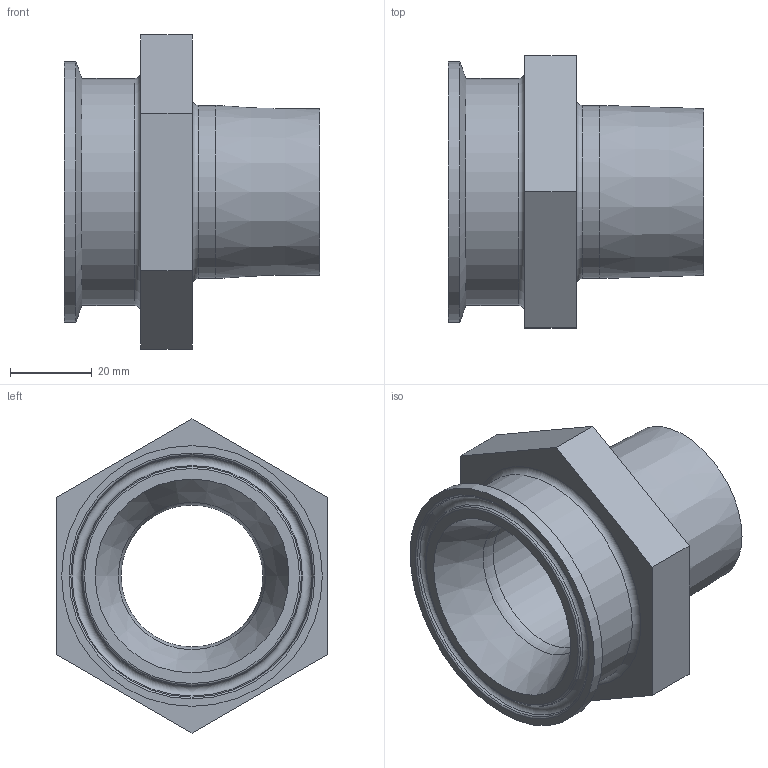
import cadquery as cq
import math


total_length = 62.71
rim_thickness = 2.85
hex_start = 18.75
hex_thickness = 12.7
pipe_straight_end = 37.2

rim_radius = 63.91 / 2
clamp_angle = math.radians(20)
neck_radius = 55.68 / 2

hex_sides = 6
hex_across_flats = 66.67

pipe_radius = 42.45 / 2
pipe_taper = 1 / 16

root_fillet = 1.5

bore_radius = 34.8 / 2
mouth_radius = 47.5 / 2
cone_depth = 12.8
bore_blend_radius = 6.35

groove_center_radius = 28.25
groove_depth = 1.6
groove_bottom_radius = 1.3
groove_lip_radius = 0.5
groove_wall_angle = math.radians(25)

hex_end = hex_start + hex_thickness
hex_across_corners = hex_across_flats / math.cos(math.pi / hex_sides)
clamp_end = rim_thickness + (rim_radius - neck_radius) * math.tan(clamp_angle)
pipe_end_radius = pipe_radius - (total_length - pipe_straight_end) * pipe_taper / 2


def revolve_about_axis(profile):
    return profile.revolve(360, (0, 0, 0), (1, 0, 0))


def root_arc_middle(face_x, body_radius, direction):
    """Middle of the fillet arc beside a hexagon face, on the side given by direction."""
    offset = root_fillet * (1 - math.cos(math.radians(45)))
    return (face_x + direction * offset, body_radius + offset)


def make_turned_body():
    profile = (
        cq.Workplane("XY")
        .lineTo(0, rim_radius)
        .lineTo(rim_thickness, rim_radius)
        .lineTo(clamp_end, neck_radius)
        .lineTo(hex_start - root_fillet, neck_radius)
        .threePointArc(
            root_arc_middle(hex_start, neck_radius, -1),
            (hex_start, neck_radius + root_fillet),
        )
        .lineTo(hex_end, neck_radius + root_fillet)
        .lineTo(hex_end, pipe_radius + root_fillet)
        .threePointArc(
            root_arc_middle(hex_end, pipe_radius, 1),
            (hex_end + root_fillet, pipe_radius),
        )
        .lineTo(pipe_straight_end, pipe_radius)
        .lineTo(total_length, pipe_end_radius)
        .lineTo(total_length, 0)
        .close()
    )
    return revolve_about_axis(profile)


def make_hexagon():
    return (
        cq.Workplane("YZ", origin=(hex_start, 0, 0))
        .transformed(rotate=(0, 0, 90))
        .polygon(hex_sides, hex_across_corners)
        .extrude(hex_thickness)
    )


def make_bore():
    cone_angle = math.atan2(mouth_radius - bore_radius, cone_depth)
    tangent_length = bore_blend_radius * math.tan(cone_angle / 2)
    blend_start = (
        cone_depth - tangent_length * math.cos(cone_angle),
        bore_radius + tangent_length * math.sin(cone_angle),
    )
    blend_end_x = cone_depth + tangent_length
    blend_middle = (
        blend_end_x - bore_blend_radius * math.sin(cone_angle / 2),
        bore_radius + bore_blend_radius * (1 - math.cos(cone_angle / 2)),
    )
    profile = (
        cq.Workplane("XY")
        .lineTo(0, mouth_radius)
        .lineTo(*blend_start)
        .threePointArc(blend_middle, (blend_end_x, bore_radius))
        .lineTo(total_length, bore_radius)
        .lineTo(total_length, 0)
        .close()
    )
    return revolve_about_axis(profile)


def make_gasket_groove():
    """Round-bottomed groove with sloping walls and rounded lips."""
    slope_sin = math.sin(groove_wall_angle)
    slope_cos = math.cos(groove_wall_angle)
    bottom_center = groove_depth - groove_bottom_radius
    half_width = (
        groove_bottom_radius + groove_lip_radius + (bottom_center - groove_lip_radius) * slope_sin
    ) / slope_cos
    wall_bottom_x = bottom_center + groove_bottom_radius * slope_sin
    wall_bottom_offset = groove_bottom_radius * slope_cos
    wall_top_x = groove_lip_radius * (1 - slope_sin)
    wall_top_offset = half_width - groove_lip_radius * slope_cos
    half_turn = (math.pi / 2 - groove_wall_angle) / 2
    lip_middle_x = groove_lip_radius * (1 - math.cos(half_turn))
    lip_middle_offset = half_width - groove_lip_radius * math.sin(half_turn)

    def point(x, offset):
        return (x, groove_center_radius + offset)

    profile = (
        cq.Workplane("XY")
        .moveTo(*point(0, half_width))
        .threePointArc(point(lip_middle_x, lip_middle_offset), point(wall_top_x, wall_top_offset))
        .lineTo(*point(wall_bottom_x, wall_bottom_offset))
        .threePointArc(point(groove_depth, 0), point(wall_bottom_x, -wall_bottom_offset))
        .lineTo(*point(wall_top_x, -wall_top_offset))
        .threePointArc(point(lip_middle_x, -lip_middle_offset), point(0, -half_width))
        .close()
    )
    return revolve_about_axis(profile)


result = make_turned_body().union(make_hexagon()).cut(make_bore()).cut(make_gasket_groove())